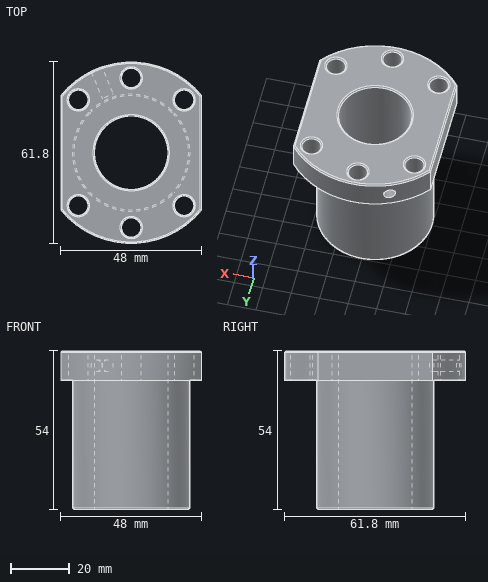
import cadquery as cq
import math

FLANGE_DIAMETER = 61.8
FLANGE_WIDTH = 48.0
FLANGE_THICKNESS = 10.0

TOTAL_HEIGHT = 54.0
BODY_DIAMETER = 40.0
BORE_DIAMETER = 25.0

MOUNT_HOLE_DIAMETER = 6.6
BOLT_CIRCLE_DIAMETER = 51.0
MOUNT_HOLE_STEP = 45.0
CURVED_SIDE_ANGLES = (90.0, 270.0)

OIL_HOLE_DIAMETER = 4.0
OIL_HOLE_DEPTH = 10.0
OIL_HOLE_ANGLE = CURVED_SIDE_ANGLES[0] + MOUNT_HOLE_STEP / 2

EDGE_CHAMFER = 0.5

FLANGE_BOTTOM = -FLANGE_THICKNESS
BODY_BOTTOM = -TOTAL_HEIGHT


def make_flange():
    """Disc cut by two flats, chamfered all round its top edge."""
    disc = cq.Workplane("XY").workplane(offset=FLANGE_BOTTOM)
    disc = disc.circle(FLANGE_DIAMETER / 2).extrude(FLANGE_THICKNESS)
    flats = cq.Workplane("XY").workplane(offset=FLANGE_BOTTOM)
    flats = flats.rect(FLANGE_WIDTH, FLANGE_DIAMETER * 2).extrude(FLANGE_THICKNESS)
    return disc.intersect(flats).faces(">Z").edges().chamfer(EDGE_CHAMFER)


def make_body():
    """Plain cylinder reaching the top face, chamfered at its lower end."""
    body = cq.Workplane("XY").workplane(offset=BODY_BOTTOM)
    body = body.circle(BODY_DIAMETER / 2).extrude(TOTAL_HEIGHT)
    return body.faces("<Z").edges().chamfer(EDGE_CHAMFER)


def make_hole_cutter(diameter, depth):
    """Solid of a vertical hole from the top face, with a chamfered mouth."""
    radius = diameter / 2
    mouth_radius = radius + EDGE_CHAMFER
    profile = cq.Workplane("XZ").polyline([
        (0, 0),
        (mouth_radius, 0),
        (radius, -EDGE_CHAMFER),
        (radius, -depth),
        (0, -depth),
    ]).close()
    return profile.revolve(360, (0, 0, 0), (0, 1, 0))


def mount_hole_centres():
    """Centres of the mounting holes on the bolt circle."""
    centres = []
    for side_angle in CURVED_SIDE_ANGLES:
        for step in (-1, 0, 1):
            angle = math.radians(side_angle + step * MOUNT_HOLE_STEP)
            x = BOLT_CIRCLE_DIAMETER / 2 * math.cos(angle)
            y = BOLT_CIRCLE_DIAMETER / 2 * math.sin(angle)
            centres.append((x, y, 0))
    return centres


def make_oil_hole_cutter():
    """Blind hole bored inward from the flange rim at mid-thickness."""
    angle = math.radians(OIL_HOLE_ANGLE)
    outward = cq.Vector(math.cos(angle), math.sin(angle), 0)
    start = outward * (FLANGE_DIAMETER / 2) + cq.Vector(0, 0, FLANGE_BOTTOM / 2)
    clearance = OIL_HOLE_DIAMETER / 2
    return cq.Workplane("XY").add(cq.Solid.makeCylinder(
        OIL_HOLE_DIAMETER / 2,
        OIL_HOLE_DEPTH + clearance,
        start + outward * clearance,
        outward * -1,
    ))


result = make_flange().union(make_body())
result = result.cut(make_hole_cutter(BORE_DIAMETER, TOTAL_HEIGHT))

mount_hole = make_hole_cutter(MOUNT_HOLE_DIAMETER, FLANGE_THICKNESS)
for centre in mount_hole_centres():
    result = result.cut(mount_hole.translate(centre))

result = result.cut(make_oil_hole_cutter())